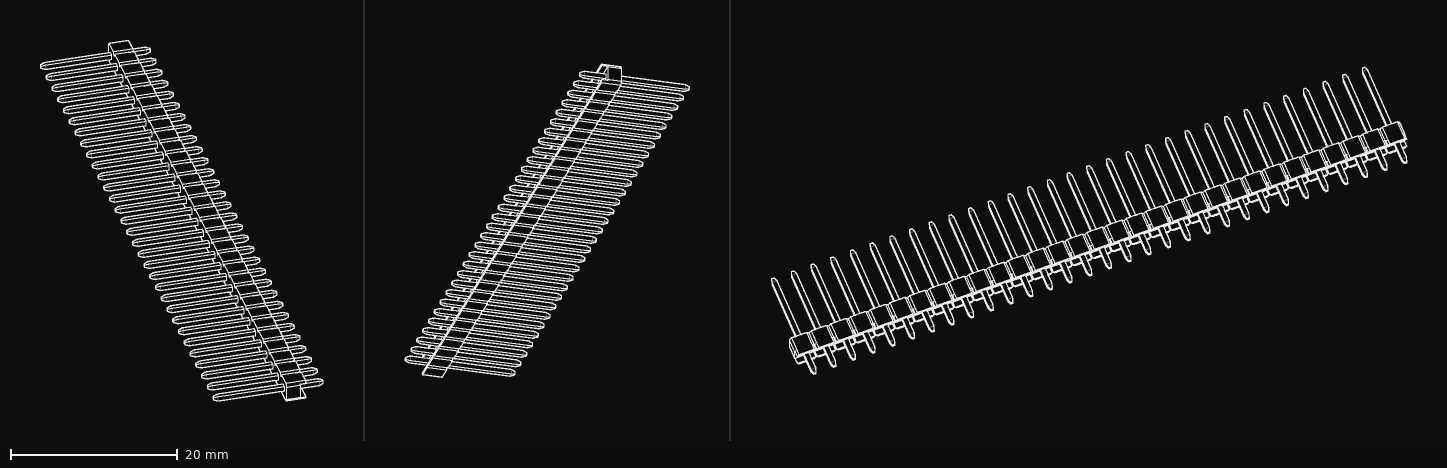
import cadquery as cq

pin_count = 31
row_length = 78.75
pitch = row_length / pin_count

body_height = 2.5
body_depth = 2.45
notch_width = 0.59
notch_depth = 0.4

channel_depth = 0.75
channel_height = 1.9

pin_offset = -0.095
pin_width = 0.6
pin_length = 13.6
pin_back_length = 2.45
tip_length = 0.51
tip_width = 0.3

body_back = body_depth / 2
pin_back = body_back + pin_back_length
pin_front = pin_back - pin_length

cell_centers = [(cell - (pin_count - 1) / 2) * pitch for cell in range(pin_count)]


def make_body():
    """Bar along X, V-notched between cells above and below, with a channel along its back."""
    top = body_height / 2
    notch_bottom = top - notch_depth
    half_pitch = pitch / 2
    half_top = half_pitch - notch_width / 2

    upper_edge = []
    for x in cell_centers:
        upper_edge.append((x - half_pitch, notch_bottom))
        upper_edge.append((x - half_top, top))
        upper_edge.append((x + half_top, top))
    upper_edge.append((row_length / 2, notch_bottom))
    lower_edge = [(x, -z) for x, z in reversed(upper_edge)]

    body = (
        cq.Workplane("XZ", origin=(0, body_back, 0))
        .polyline(upper_edge + lower_edge)
        .close()
        .extrude(body_depth)
    )
    channel = cq.Workplane("XY").box(row_length, channel_depth, channel_height)
    return body.cut(channel.translate((0, body_back - channel_depth / 2, 0)))


def make_tip(shank_end, direction):
    """Tapered pin end that starts at shank_end and points along +Y (1) or -Y (-1)."""
    base = cq.Plane(origin=(0, shank_end, 0), xDir=(1, 0, 0), normal=(0, direction, 0))
    return (
        cq.Workplane(base)
        .rect(pin_width, pin_width)
        .workplane(offset=tip_length)
        .rect(tip_width, tip_width)
        .loft(ruled=True)
    )


def make_pin():
    """Square pin along Y with a tapered tip at each end."""
    shank_back = pin_back - tip_length
    shank_front = pin_front + tip_length
    shank = (
        cq.Workplane("XZ", origin=(0, shank_back, 0))
        .rect(pin_width, pin_width)
        .extrude(shank_back - shank_front)
    )
    return shank.union(make_tip(shank_back, 1)).union(make_tip(shank_front, -1))


pin = make_pin()
pins = [pin.val().moved(cq.Location(cq.Vector(x + pin_offset, 0, 0))) for x in cell_centers]
result = cq.Workplane(make_body().val().fuse(*pins))